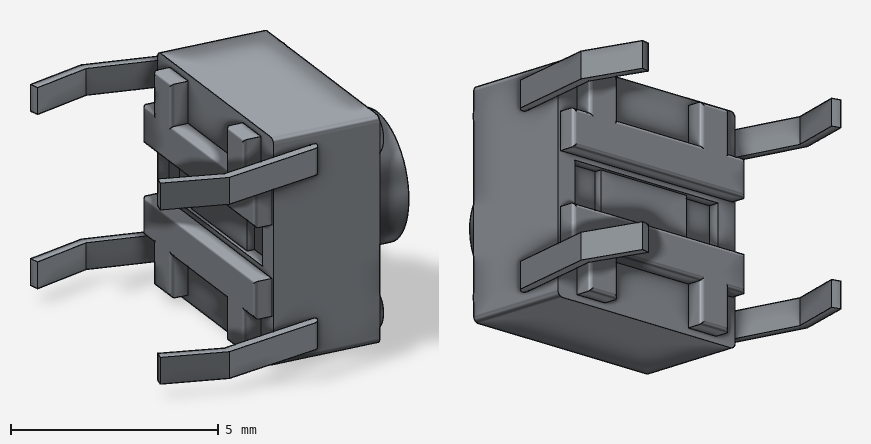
import cadquery as cq


CASE_SIDE = 6.0
CASE_DEPTH = 2.9
CASE_CORNER_RADIUS = 0.15
TERMINAL_OFFSET = 2.3

PLUNGER_DIAMETER = 3.33
PLUNGER_HEIGHT = 1.5
BORE_DIAMETER = 3.36
BORE_DEPTH = 1.0

BOSS_DIAMETER = 1.22
BOSS_HEIGHT = 0.23
BOSS_FILLET = 0.2

FOOT_HEIGHT = 0.46
FOOT_FILLET = 0.1
FOOT_BAR_LENGTH = 5.81
FOOT_BAR_INNER_Z = 0.71
FOOT_BAR_OUTER_Z = 1.705
FOOT_PRONG_OUTER_Z = 2.82
FOOT_PRONG_WIDTH = 0.94
FOOT_PRONG_SPACING = 3.76

RECESS_LENGTH = 4.84
RECESS_WIDTH = 1.145
RECESS_END_DEPTH = 0.3
RECESS_MIDDLE_LENGTH = 2.89
RECESS_MIDDLE_DEPTH = 0.1

LEAD_WIDTH = 0.71
LEAD_THICKNESS = 0.25
LEAD_TOP_Y = 1.15
LEAD_SHOULDER_X = 3.265
LEAD_SHOULDER_Y = 1.0
LEAD_KNEE_X = 3.8285
LEAD_KNEE_Y = -1.64
LEAD_TIP_X = 3.36
LEAD_TIP_Y = CASE_DEPTH + PLUNGER_HEIGHT - 7.68
LEAD_TIP_RISE = 0.06


def disc(diameter, start_y, height, x=0.0, z=0.0):
    """Cylinder along +Y that starts at start_y."""
    axis_start = cq.Vector(x, start_y, z)
    solid = cq.Solid.makeCylinder(diameter / 2, height, axis_start, cq.Vector(0, 1, 0))
    return cq.Workplane(solid)


def case_block():
    return (
        cq.Workplane()
        .box(CASE_SIDE, CASE_DEPTH, CASE_SIDE)
        .translate((0, CASE_DEPTH / 2, 0))
        .edges("|Y")
        .fillet(CASE_CORNER_RADIUS)
    )


def stepped_recess():
    """Volume cut from the base face: shallow in the middle, deeper at both ends."""
    ends = cq.Workplane().box(RECESS_LENGTH, RECESS_END_DEPTH, RECESS_WIDTH)
    ends = ends.translate((0, RECESS_END_DEPTH / 2, 0))
    step_height = RECESS_END_DEPTH - RECESS_MIDDLE_DEPTH
    step = cq.Workplane().box(RECESS_MIDDLE_LENGTH, step_height, RECESS_WIDTH)
    step = step.translate((0, RECESS_MIDDLE_DEPTH + step_height / 2, 0))
    return ends.cut(step)


def boss(x, z):
    return disc(BOSS_DIAMETER, CASE_DEPTH, BOSS_HEIGHT, x, z).faces(">Y").edges().fillet(BOSS_FILLET)


def upper_foot():
    """Bar with two prongs that point to +Z."""
    bar_width = FOOT_BAR_OUTER_Z - FOOT_BAR_INNER_Z
    bar_z = (FOOT_BAR_OUTER_Z + FOOT_BAR_INNER_Z) / 2
    prong_length = FOOT_PRONG_OUTER_Z - FOOT_BAR_INNER_Z
    prong_z = (FOOT_PRONG_OUTER_Z + FOOT_BAR_INNER_Z) / 2
    foot = cq.Workplane().box(FOOT_BAR_LENGTH, FOOT_HEIGHT, bar_width).translate((0, 0, bar_z))
    for side in (-1, 1):
        prong = cq.Workplane().box(FOOT_PRONG_WIDTH, FOOT_HEIGHT, prong_length)
        foot = foot.union(prong.translate((side * FOOT_PRONG_SPACING / 2, 0, prong_z)))
    foot = foot.faces("<Y").edges().fillet(FOOT_FILLET)
    return foot.translate((0, -FOOT_HEIGHT / 2, 0))


def right_lead(z):
    """Lead on the +X side: rounded shoulder, leg spreading outward to the knee, then inward to the tip."""
    wall_x = CASE_SIDE / 2
    return (
        cq.Workplane("XY", origin=(0, 0, z))
        .moveTo(wall_x, LEAD_TOP_Y)
        .radiusArc((LEAD_SHOULDER_X, LEAD_SHOULDER_Y), LEAD_THICKNESS)
        .lineTo(LEAD_KNEE_X, LEAD_KNEE_Y)
        .lineTo(LEAD_TIP_X, LEAD_TIP_Y)
        .lineTo(LEAD_TIP_X - LEAD_THICKNESS, LEAD_TIP_Y + LEAD_TIP_RISE)
        .lineTo(LEAD_KNEE_X - LEAD_THICKNESS, LEAD_KNEE_Y)
        .lineTo(LEAD_SHOULDER_X - LEAD_THICKNESS, LEAD_SHOULDER_Y)
        .lineTo(wall_x, LEAD_SHOULDER_Y)
        .close()
        .extrude(LEAD_WIDTH / 2, both=True)
    )


def make_housing():
    housing = case_block().cut(stepped_recess())
    foot = upper_foot()
    housing = housing.union(foot).union(foot.mirror("XY"))
    for z in (-TERMINAL_OFFSET, TERMINAL_OFFSET):
        for x in (-TERMINAL_OFFSET, TERMINAL_OFFSET):
            housing = housing.union(boss(x, z))
        lead = right_lead(z)
        housing = housing.union(lead).union(lead.mirror("YZ"))
    bore = disc(BORE_DIAMETER, CASE_DEPTH - BORE_DEPTH, BORE_DEPTH)
    return housing.cut(bore)


def make_plunger():
    return disc(PLUNGER_DIAMETER, CASE_DEPTH - BORE_DEPTH, BORE_DEPTH + PLUNGER_HEIGHT)


housing = make_housing()
plunger = make_plunger()

result = cq.Compound.makeCompound([housing.val(), plunger.val()])